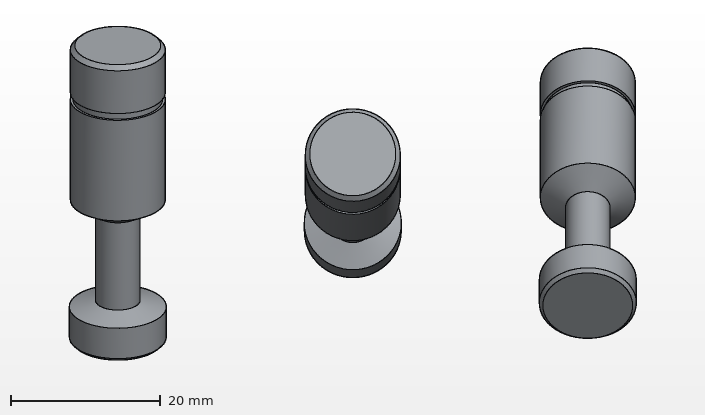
import cadquery as cq

total_height = 44.0

foot_diameter = 13.0
stem_diameter = 6.0
body_diameter = 12.7
groove_diameter = 12.0

foot_rim_top = 5.0
stem_bottom = 6.0
stem_top = 19.0
body_bottom = 21.0
groove_bottom = 36.0
groove_top = 37.0

foot_chamfer = 0.5
top_chamfer = 0.6

foot_radius = foot_diameter / 2
stem_radius = stem_diameter / 2
body_radius = body_diameter / 2
groove_radius = groove_diameter / 2

half_section = [
    (0, 0),
    (foot_radius - foot_chamfer, 0),
    (foot_radius, foot_chamfer),
    (foot_radius, foot_rim_top),
    (stem_radius, stem_bottom),
    (stem_radius, stem_top),
    (body_radius, body_bottom),
    (body_radius, groove_bottom),
    (groove_radius, groove_bottom),
    (groove_radius, groove_top),
    (body_radius, groove_top),
    (body_radius, total_height - top_chamfer),
    (body_radius - top_chamfer, total_height),
    (0, total_height),
]

result = (
    cq.Workplane("XZ")
    .polyline(half_section)
    .close()
    .revolve(360, (0, 0, 0), (0, 1, 0))
)